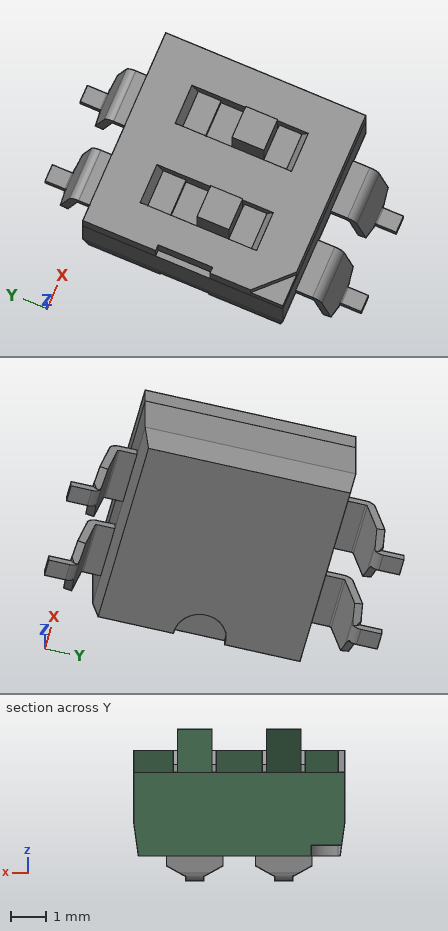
import cadquery as cq
import math


overall_length = 9.8
overall_height = 4.32
body_width = 6.02
body_length = 6.2
pitch = 2.54
positions = [-pitch / 2, pitch / 2]

housing_bottom_z = 0.71
draft_top_z = 1.63
draft_angle = 8.0
relief_radius = 0.75
relief_depth = 0.3
relief_centre_x = -2.81

cover_thickness = 0.62
knob_rise = 0.61
cover_top_z = overall_height - knob_rise
housing_top_z = cover_top_z - cover_thickness
corner_cut = 1.0
corner_depth = 0.3
notch_length = 1.69
notch_depth = 0.19
slot_width = 1.22
slot_length = 3.61
slot_end_inset = 0.2
slot_depth = 0.4
opening_length = 1.8

knob_size = 0.99
knob_centre_y = (knob_size - opening_length) / 2
knob_height = cover_thickness + knob_rise

pin_width = 1.62
pin_thickness = 0.245
foot_width = 0.52
shank_angle = 13.6
shoulder_radius = 0.299
heel_radius = 0.28
shoulder_y = 3.86
taper_angle = 30.0
taper_height = 0.245


def make_housing():
    upper = (
        cq.Workplane("XY")
        .workplane(offset=draft_top_z)
        .rect(body_width, body_length)
        .extrude(housing_top_z - draft_top_z)
    )
    lower = (
        cq.Workplane("XY")
        .workplane(offset=draft_top_z)
        .rect(body_width, body_length)
        .extrude(housing_bottom_z - draft_top_z, taper=draft_angle)
    )
    round_end = (
        cq.Workplane("XY", origin=(relief_centre_x, 0, housing_bottom_z))
        .circle(relief_radius)
        .extrude(relief_depth)
    )
    side_entry = (
        cq.Workplane("XY", origin=(relief_centre_x, 0, housing_bottom_z))
        .rect(2 * relief_radius, 2 * relief_radius)
        .extrude(relief_depth)
        .translate((-relief_radius, 0, 0))
    )
    return upper.union(lower).cut(round_end).cut(side_entry)


def make_slot(x):
    """Slot with sloping ends and, in its floor, an opening for the knob."""
    top = slot_length / 2
    floor = top - slot_end_inset
    floor_z = cover_top_z - slot_depth
    recess = (
        cq.Workplane("YZ", origin=(x, 0, 0))
        .polyline([(-top, cover_top_z), (top, cover_top_z), (floor, floor_z), (-floor, floor_z)])
        .close()
        .extrude(slot_width / 2, both=True)
    )
    opening = (
        cq.Workplane("XY", origin=(x, 0, housing_top_z))
        .rect(slot_width, opening_length)
        .extrude(cover_thickness)
    )
    return recess.union(opening)


def make_cover():
    cover = (
        cq.Workplane("XY", origin=(0, 0, housing_top_z))
        .rect(body_width, body_length)
        .extrude(cover_thickness)
    )
    left = -body_width / 2
    front = -body_length / 2
    corner_step = (
        cq.Workplane("XY", origin=(left, front, cover_top_z))
        .polyline([(0, 0), (corner_cut, 0), (0, corner_cut)])
        .close()
        .extrude(-corner_depth)
    )
    side_notch = (
        cq.Workplane("XY", origin=(left, 0, housing_top_z))
        .rect(2 * notch_depth, notch_length)
        .extrude(cover_thickness)
    )
    cover = cover.cut(corner_step).cut(side_notch)
    for x in positions:
        cover = cover.cut(make_slot(x))
    return cover


def make_knob(x):
    return (
        cq.Workplane("XY", origin=(x, knob_centre_y, housing_top_z))
        .rect(knob_size, knob_size)
        .extrude(knob_height)
    )


def make_pin():
    """Pin on the +Y side, centred on X = 0."""
    tilt = math.radians(shank_angle)
    top_z = draft_top_z + pin_thickness
    wall_y = body_length / 2
    tip_y = overall_length / 2

    shank_offset = pin_thickness / math.cos(tilt)
    toe_inner_y = shoulder_y + (top_z - pin_thickness) * math.tan(tilt)
    shoulder_outer = (shoulder_y, top_z)
    heel_inner = (toe_inner_y, pin_thickness)
    heel_outer = (shoulder_y - shank_offset + top_z * math.tan(tilt), 0)
    shoulder_inner = (
        shoulder_y - shank_offset + pin_thickness * math.tan(tilt),
        draft_top_z,
    )
    outline = [
        (wall_y, top_z),
        shoulder_outer,
        heel_inner,
        (tip_y, pin_thickness),
        (tip_y, 0),
        heel_outer,
        shoulder_inner,
        (wall_y, draft_top_z),
    ]
    strip = cq.Workplane("YZ").polyline(outline).close().extrude(pin_width / 2, both=True)
    bends = [
        (shoulder_outer, shoulder_radius),
        (shoulder_inner, shoulder_radius - pin_thickness),
        (heel_outer, heel_radius),
        (heel_inner, heel_radius - pin_thickness),
    ]
    for (y, z), radius in bends:
        strip = strip.edges(cq.NearestToPointSelector((0, y, z))).fillet(radius)

    waste_reach = 2 * pin_thickness

    side = pin_width / 2
    foot_side = foot_width / 2
    taper_drop = (side - foot_side) * math.tan(math.radians(taper_angle))
    shank_plane = cq.Plane(
        origin=(0, heel_inner[0], heel_inner[1]),
        xDir=(1, 0, 0),
        normal=(0, math.cos(tilt), math.sin(tilt)),
    )
    shank_waste = (
        cq.Workplane(shank_plane)
        .polyline([
            (-side, -taper_height),
            (-foot_side, taper_drop - taper_height),
            (-foot_side, waste_reach),
            (-side, waste_reach),
        ])
        .close()
        .extrude(waste_reach, both=True)
    )
    foot_waste = (
        cq.Workplane("YZ", origin=(-side, 0, 0))
        .polyline([
            (heel_inner[0] + pin_thickness, waste_reach),
            (tip_y, waste_reach),
            (tip_y, 0),
            (heel_inner[0] - pin_thickness, 0),
        ])
        .close()
        .extrude(side - foot_side)
    )
    for waste in (shank_waste, foot_waste):
        strip = strip.cut(waste).cut(waste.mirror("YZ"))
    return strip


housing = make_housing()
cover = make_cover()
knobs = [make_knob(x) for x in positions]
back_pin = make_pin()
front_pin = back_pin.mirror("XZ")
pins = [pin.translate((x, 0, 0)) for x in positions for pin in (front_pin, back_pin)]

result = cq.Compound.makeCompound([
    housing.val(),
    cover.val(),
    *[knob.val() for knob in knobs],
    *[pin.val() for pin in pins],
])